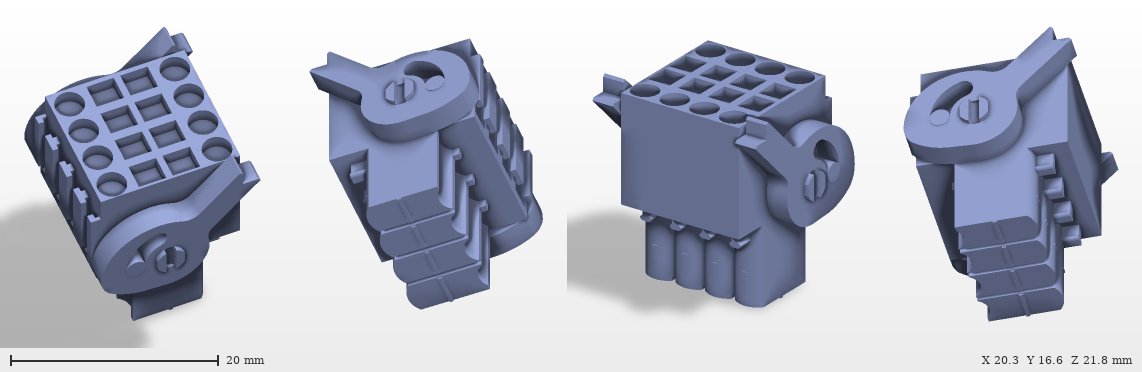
import cadquery as cq
import math


pole_count = 4
pole_span = 10.5
pitch = pole_span / (pole_count - 1)
pole_xs = [(i - (pole_count - 1) / 2) * pitch for i in range(pole_count)]
ridge_xs = [(i - (pole_count - 2) / 2) * pitch for i in range(pole_count - 1)]

housing_width = 13.86
block_back = 8.52
block_front = -6.04
block_top = 20.85
block_bottom = 8.95

ledge_front = -6.5
rail_front = -7.08
rail_top = 18.1
rail_bottom = 11.25
slot_floor = 10.07
slot_wide = 2.62
slot_narrow = 1.6

opening_shift = 0.1
opening_depth = 1.5
round_radius = 1.48
round_ys = (6.75, -4.23)
window_size_x = 2.6
window_size_y = 2.85
window_ys = (3.03, -0.5)

stem_bottom = 0.17
stem_end_front = -2.65
stem_front = -3.03
stem_back = 4.47
lobe_back = 5.15
groove_radius = 1.61
groove_offset = 0.76
notch_width = 0.44
notch_top = 0.7
ridge_width = 0.65
foot_y = 1.29
foot_width = 0.4
bead_height = 0.25
bead_width = 0.65
bead_depth = 0.09
bead_z = 3.7

fin_front = -3.7
fin_bottom = 8.02
hook_back = 6.8
hook_bottom = 6.98
hook_barb_top = 7.6
hook_tip_z = 7.32
hook_half_width = 0.37
hook_reach = 0.28

total_height = 21.8
lever_inner = 7.2
lever_thickness = 2.42
hub_radius = 4.2
hub_bottom_angle = 268
cam_radius = 6.04
cam_z = -0.55
cam_middle_angle = 112
nose_radius = 3.05
nose_end_angle = 223
belly_radius = 6.8
belly_y = -2.0
belly_z = 2.72
belly_start_angle = 231
belly_end_angle = 270
arm_angle = 45
arm_half_width = 1.48
arm_length = 12.01
tip_land = 0.37
arm_fillet = 1.64
guide_sweep = 70

tip_rise = (arm_length + arm_half_width) * math.sin(math.radians(arm_angle))
pivot_z = total_height - tip_rise
pivot_radius = 1.53
pivot_flats = 2.81
overall_width = 20.3
pivot_end = overall_width / 2
screw_slot_width = 1.07
screw_slot_center = 9.8
stop_radius = 1.0
stop_orbit = 3.49
stop_end = 9.7


def polar(radius, degrees, across=0.0, up=0.0):
    """Point on a circle about a centre in the profile plane."""
    angle = math.radians(degrees)
    return (across + radius * math.cos(angle), up + radius * math.sin(angle))


def block(width, y_front, y_back, z_low, z_high, x_center=0.0):
    """Box centred on x_center, given by its limits along Y and Z."""
    base = cq.Workplane("XY", origin=(x_center, (y_front + y_back) / 2, z_low))
    return base.rect(width, y_back - y_front).extrude(z_high - z_low)


def make_upper_block():
    body = block(housing_width, block_front, block_back, block_bottom, block_top)
    body = body.union(block(housing_width, ledge_front, block_front, block_bottom, rail_bottom))
    body = body.union(block(housing_width, rail_front, block_front, rail_bottom, rail_top))
    for x in pole_xs:
        body = body.cut(block(slot_wide, ledge_front, block_front, slot_floor, rail_top, x))
        body = body.cut(block(slot_narrow, rail_front, ledge_front, rail_bottom, rail_top, x))
    top_plane = cq.Workplane("XY", origin=(opening_shift, 0, block_top))
    round_points = [(x, y) for x in pole_xs for y in round_ys]
    window_points = [(x, y) for x in pole_xs for y in window_ys]
    body = body.cut(top_plane.pushPoints(round_points).circle(round_radius).extrude(-opening_depth))
    windows = top_plane.pushPoints(window_points).rect(window_size_x, window_size_y)
    return body.cut(windows.extrude(-opening_depth))


def make_lobe(x):
    """Shallow convex bulge on the back of one pole."""
    half = housing_width / 2 - pole_xs[-1]
    return (
        cq.Workplane("XY", origin=(x, 0, stem_bottom))
        .moveTo(-half, stem_back)
        .threePointArc((0, lobe_back), (half, stem_back))
        .close()
        .extrude(block_bottom - stem_bottom)
    )


def make_bead(x):
    """Small raised bar on the crest of a lobe."""
    z_low = bead_z - bead_height / 2
    return block(bead_width, stem_back, lobe_back + bead_depth, z_low, z_low + bead_height, x)


def make_lower_block():
    body = block(housing_width, stem_end_front, stem_back, stem_bottom, block_bottom)
    inner_width = pole_xs[-1] - pole_xs[0]
    body = body.union(block(inner_width, stem_front, stem_end_front, stem_bottom, block_bottom))
    foot = block(housing_width, foot_y - foot_width / 2, foot_y + foot_width / 2, 0, stem_bottom)
    body = body.union(foot)
    groove_points = [(x, stem_front - groove_offset) for x in pole_xs]
    grooves = cq.Workplane("XY").pushPoints(groove_points).circle(groove_radius)
    body = body.cut(grooves.extrude(block_bottom))
    for x in pole_xs:
        body = body.union(make_lobe(x)).union(make_bead(x))
    for x in ridge_xs:
        body = body.cut(block(notch_width, stem_front, lobe_back, 0, notch_top, x))
        body = body.cut(block(ridge_width, stem_front, stem_back, 0, stem_bottom, x))
    return body


def make_fin(x):
    return block(ridge_width, fin_front, stem_front, fin_bottom, block_bottom, x)


def make_hook(x):
    """Tab behind a pole with a barb on both sides, sloped above and rounded below."""
    neck = hook_half_width
    tip = neck + hook_reach
    corner_radius = hook_tip_z - hook_bottom
    corner_x = tip - corner_radius
    arc_x, arc_z = polar(corner_radius, -45, corner_x, hook_tip_z)
    return (
        cq.Workplane("XZ", origin=(x, hook_back, 0))
        .moveTo(neck, block_bottom)
        .lineTo(neck, hook_barb_top)
        .lineTo(tip, hook_tip_z)
        .threePointArc((arc_x, arc_z), (corner_x, hook_bottom))
        .lineTo(-corner_x, hook_bottom)
        .threePointArc((-arc_x, arc_z), (-tip, hook_tip_z))
        .lineTo(-neck, hook_barb_top)
        .lineTo(-neck, block_bottom)
        .close()
        .extrude(hook_back - stem_back)
    )


def make_pins(side):
    """Slotted pivot pin and round stop pin on one side (+1 or -1)."""
    start = side * housing_width / 2
    plane = cq.Workplane("YZ", origin=(start, 0, pivot_z))
    pivot_length = side * pivot_end - start
    pivot = plane.circle(pivot_radius).extrude(pivot_length)
    flats = plane.rect(pivot_flats, 2 * pivot_radius).extrude(pivot_length)
    pivot = pivot.intersect(flats)
    stop = plane.center(-stop_orbit, 0).circle(stop_radius).extrude(side * stop_end - start)
    return pivot, stop


def make_screw_slot(side):
    """Slot across the end of the pivot pin, with a full-round floor."""
    plane = cq.Workplane("XY", origin=(side * screw_slot_center, 0, pivot_z - pivot_radius))
    floor = plane.circle(screw_slot_width / 2).extrude(2 * pivot_radius)
    opening_length = pivot_end - screw_slot_center
    opening = plane.center(side * opening_length / 2, 0).rect(opening_length, screw_slot_width)
    return floor.union(opening.extrude(2 * pivot_radius))


def make_housing():
    body = make_upper_block().union(make_lower_block())
    for x in ridge_xs:
        body = body.union(make_fin(x))
    for x in pole_xs:
        body = body.union(make_hook(x))
    for side in (-1, 1):
        pivot, stop = make_pins(side)
        body = body.union(pivot.cut(make_screw_slot(side))).union(stop)
    return body


def lever_plane(side):
    return cq.Workplane("YZ", origin=(side * lever_inner, 0, pivot_z))


def make_hub(side):
    """Cam-shaped plate: large cam arc, nose, shallow belly and round hub."""
    cam_y = rail_front + cam_radius
    nose_y = rail_front + nose_radius
    nose_middle = (180 + nose_end_angle) / 2
    belly_middle = (belly_start_angle + belly_end_angle) / 2
    hub_middle = (hub_bottom_angle + 360 + arm_angle) / 2
    return (
        lever_plane(side)
        .moveTo(*polar(cam_radius, arm_angle, cam_y, cam_z))
        .threePointArc(polar(cam_radius, cam_middle_angle, cam_y, cam_z), (rail_front, cam_z))
        .threePointArc(
            polar(nose_radius, nose_middle, nose_y, cam_z),
            polar(belly_radius, belly_start_angle, belly_y, belly_z),
        )
        .threePointArc(
            polar(belly_radius, belly_middle, belly_y, belly_z),
            polar(belly_radius, belly_end_angle, belly_y, belly_z),
        )
        .lineTo(*polar(hub_radius, hub_bottom_angle))
        .threePointArc(polar(hub_radius, hub_middle), polar(hub_radius, arm_angle))
        .close()
        .extrude(side * lever_thickness)
    )


def make_arm(side):
    """Straight handle with a right-angled notch in its tip."""
    w = arm_half_width
    notch_half = w - tip_land
    outline = [
        (0, -w),
        (arm_length, -w),
        (arm_length, -notch_half),
        (arm_length - notch_half, 0),
        (arm_length, notch_half),
        (arm_length, w),
        (0, w),
    ]
    plane = lever_plane(side).transformed(rotate=(0, 0, arm_angle))
    return plane.polyline(outline).close().extrude(side * lever_thickness)


def make_guide_slot(side):
    """Curved slot about the pivot that starts at the stop pin."""
    end_angle = 180 - guide_sweep
    middle_angle = 180 - guide_sweep / 2
    inner = stop_orbit - stop_radius
    outer = stop_orbit + stop_radius
    return (
        lever_plane(side)
        .moveTo(-inner, 0)
        .threePointArc((-stop_orbit, -stop_radius), (-outer, 0))
        .threePointArc(polar(outer, middle_angle), polar(outer, end_angle))
        .threePointArc(
            polar(stop_radius, end_angle - 90, *polar(stop_orbit, end_angle)),
            polar(inner, end_angle),
        )
        .threePointArc(polar(inner, middle_angle), (-inner, 0))
        .close()
        .extrude(side * lever_thickness)
    )


def make_lever(side):
    body = make_hub(side).union(make_arm(side))
    tolerance = 0.002
    arm_direction = cq.Vector(0, *polar(1.0, arm_angle))
    pivot_center = cq.Vector(0, 0, pivot_z)

    def at_arm_root(edge):
        offset = edge.Center() - pivot_center
        along = offset.dot(arm_direction)
        across = abs(offset.y * arm_direction.z - offset.z * arm_direction.y)
        return abs(across - arm_half_width) < tolerance and along < arm_length - tip_land

    roots = [edge for edge in body.edges("|X").vals() if at_arm_root(edge)]
    body = body.newObject(roots).fillet(arm_fillet)
    pivot, _ = make_pins(side)
    return body.cut(pivot).cut(make_guide_slot(side))


housing = make_housing()
levers = [make_lever(side) for side in (-1, 1)]
result = cq.Compound.makeCompound([housing.val(), *[lever.val() for lever in levers]])